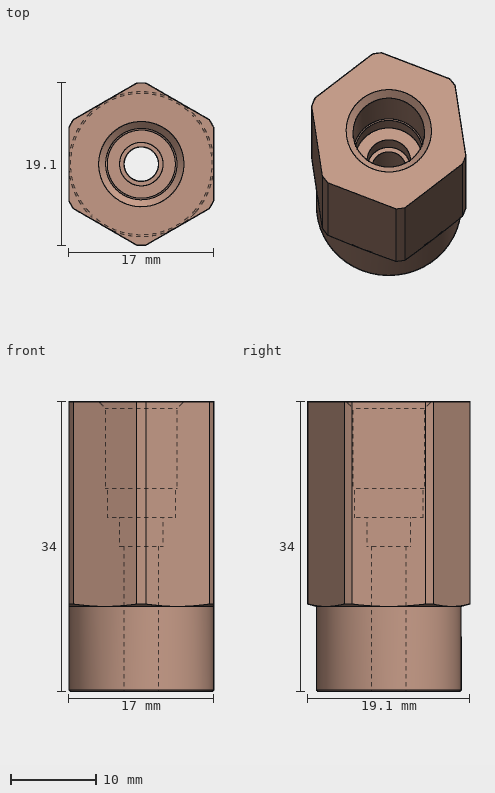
import cadquery as cq
import math

total_height = 34.0
hexagon_sides = 6
across_flats = 17.0
corner_diameter = 19.05
shank_diameter = across_flats
shank_height = 10.0
head_height = total_height - shank_height
shank_edge_chamfer = 0.2
head_chamfer_angle = 15.0

countersink_diameter = 10.0
bore_steps = [
    (8.35, 10.2),
    (8.0, 13.6),
    (5.1, 17.0),
]
through_diameter = 4.0


def make_head():
    """Hexagon with flats facing +X and -X, its corners and lower edge turned."""
    half_side_angle = 180 / hexagon_sides
    across_corners = across_flats / math.cos(math.radians(half_side_angle))
    hexagon = (
        cq.Workplane("XY")
        .workplane(offset=shank_height)
        .polygon(hexagon_sides, across_corners)
        .extrude(head_height)
        .rotate((0, 0, 0), (0, 0, 1), half_side_angle)
    )
    corner_radius = corner_diameter / 2
    flat_radius = across_flats / 2
    chamfer_rise = (corner_radius - flat_radius) * math.tan(math.radians(head_chamfer_angle))
    turned_envelope = (
        cq.Workplane("XZ")
        .moveTo(0, shank_height)
        .lineTo(flat_radius, shank_height)
        .lineTo(corner_radius, shank_height + chamfer_rise)
        .lineTo(corner_radius, total_height)
        .lineTo(0, total_height)
        .close()
        .revolve(360, (0, 0), (0, 1))
    )
    return hexagon.intersect(turned_envelope)


def make_shank():
    """Round shank with a small chamfer around its foot."""
    shank_radius = shank_diameter / 2
    return (
        cq.Workplane("XZ")
        .lineTo(shank_radius - shank_edge_chamfer, 0)
        .lineTo(shank_radius, shank_edge_chamfer)
        .lineTo(shank_radius, shank_height)
        .lineTo(0, shank_height)
        .close()
        .revolve(360, (0, 0), (0, 1))
    )


def make_bore():
    """Through hole, stepped counterbores and a 45 degree countersink."""
    bore = cq.Workplane("XY").circle(through_diameter / 2).extrude(total_height)
    for diameter, depth in bore_steps:
        step = (
            cq.Workplane("XY")
            .workplane(offset=total_height - depth)
            .circle(diameter / 2)
            .extrude(depth)
        )
        bore = bore.union(step)

    mouth_radius = bore_steps[0][0] / 2
    countersink_radius = countersink_diameter / 2
    countersink_depth = countersink_radius - mouth_radius
    countersink = (
        cq.Workplane("XZ")
        .moveTo(0, total_height - countersink_depth)
        .lineTo(mouth_radius, total_height - countersink_depth)
        .lineTo(countersink_radius, total_height)
        .lineTo(0, total_height)
        .close()
        .revolve(360, (0, 0), (0, 1))
    )
    return bore.union(countersink)


result = make_head().union(make_shank()).cut(make_bore())